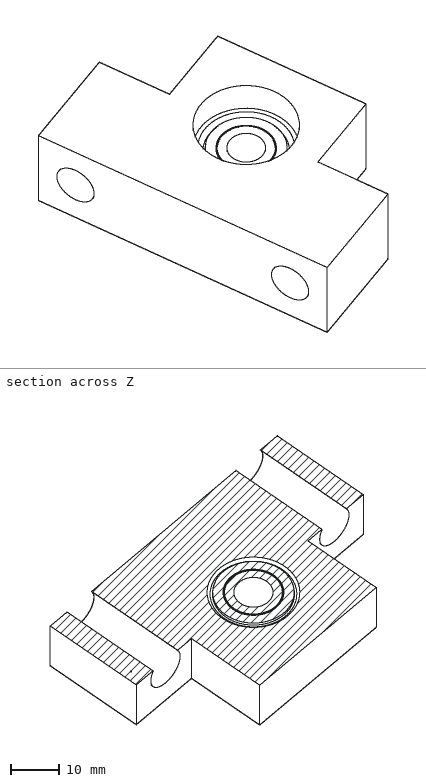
import cadquery as cq

base_width = 70.0
base_depth = 24.0
housing_width = 36.0
total_depth = 43.0
height = 20.0

mount_hole_diameter = 9.0
mount_hole_spacing = 52.0

bearing_y = 25.0
recess_diameter = 22.0
recess_depth = 7.0
shaft_diameter = 8.0
floor_z = height - recess_depth

seal_groove_outer_radius = 10.0
seal_groove_bottom_radius = 8.95
seal_groove_inner_radius = 8.5
seal_groove_depth = seal_groove_outer_radius - seal_groove_bottom_radius

ring_gap_outer_radius = 6.2
ring_gap_inner_radius = 6.0
ring_gap_depth = 0.5


def make_block():
    base = cq.Workplane("XY").box(base_width, base_depth, height, centered=(True, False, False))
    housing = cq.Workplane("XY").box(housing_width, total_depth, height, centered=(True, False, False))
    return base.union(housing)


def make_mount_holes():
    return (
        cq.Workplane("XZ")
        .pushPoints([(side * mount_hole_spacing / 2, height / 2) for side in (-1, 1)])
        .circle(mount_hole_diameter / 2)
        .extrude(-base_depth)
    )


def make_bearing_cylinder(diameter, bottom_z):
    return (
        cq.Workplane("XY", origin=(0, bearing_y, bottom_z))
        .circle(diameter / 2)
        .extrude(height - bottom_z)
    )


def make_floor_groove(outer_radius, bottom_radius, inner_radius, depth):
    """Ring cut below the recess floor, revolved about the bearing axis."""
    return (
        cq.Workplane("XZ", origin=(0, bearing_y, floor_z))
        .moveTo(outer_radius, 0)
        .lineTo(bottom_radius, -depth)
        .lineTo(inner_radius, -depth)
        .lineTo(inner_radius, 0)
        .close()
        .revolve(360, (0, 0, 0), (0, 1, 0))
    )


seal_groove = make_floor_groove(
    seal_groove_outer_radius,
    seal_groove_bottom_radius,
    seal_groove_inner_radius,
    seal_groove_depth,
)
ring_gap = make_floor_groove(
    ring_gap_outer_radius,
    ring_gap_outer_radius,
    ring_gap_inner_radius,
    ring_gap_depth,
)

result = (
    make_block()
    .cut(make_mount_holes())
    .cut(make_bearing_cylinder(recess_diameter, floor_z))
    .cut(make_bearing_cylinder(shaft_diameter, 0))
    .cut(seal_groove)
    .cut(ring_gap)
)